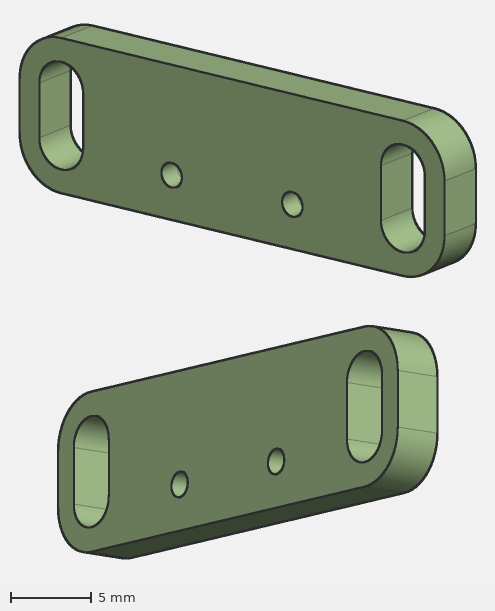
import cadquery as cq

length = 33.53
thickness = 3.2
height = 10.15
corner_radius = 3.3

slot_width = 3.45
slot_spacing = length - 2 * corner_radius
slot_length = height - 2 * corner_radius + slot_width

hole_diameter = 1.6
hole_spacing = 9.52
hole_drop = 2.15


def make_plate():
    """Plate centred on the origin, with its four corners rounded."""
    plate = cq.Workplane("XY").box(length, thickness, height)
    return plate.edges("|Y").fillet(corner_radius)


def make_slots():
    """Two upright slots, one near each end."""
    centres = [(side * slot_spacing / 2, 0) for side in (-1, 1)]
    sketch = cq.Workplane("XZ").pushPoints(centres)
    return sketch.slot2D(slot_length, slot_width, 90).extrude(thickness, both=True)


def make_holes():
    """Two round holes, placed symmetrically about the middle."""
    centres = [(side * hole_spacing / 2, -hole_drop) for side in (-1, 1)]
    sketch = cq.Workplane("XZ").pushPoints(centres)
    return sketch.circle(hole_diameter / 2).extrude(thickness, both=True)


result = make_plate().cut(make_slots()).cut(make_holes())